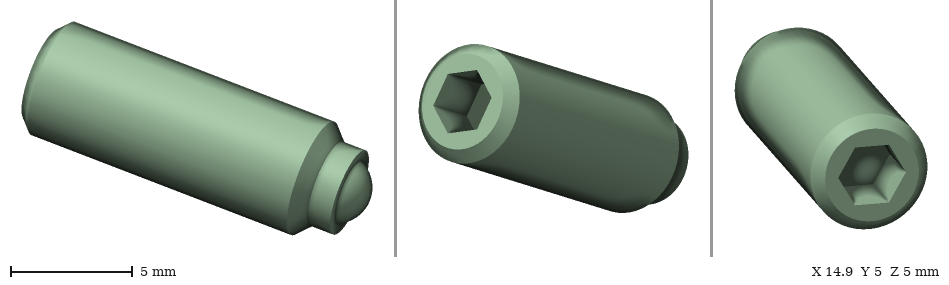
import cadquery as cq
import math

body_diameter = 5.0
sleeve_length = 14.0
overall_length = 14.89
drive_chamfer = 0.5

neck_diameter = 3.72
neck_length = 1.03

ball_diameter = 3.0

socket_across_flats = 2.5
socket_depth = 2.5

body_radius = body_diameter / 2
neck_radius = neck_diameter / 2
cone_length = body_radius - neck_radius
neck_start = sleeve_length - neck_length
cone_start = neck_start - cone_length
ball_radius = ball_diameter / 2
ball_center = overall_length - ball_radius


def make_body():
    """Turned body: chamfered drive end, cylinder, cone, neck and exposed ball cap."""
    ball_edge_angle = math.acos((sleeve_length - ball_center) / ball_radius)
    ball_edge_radius = ball_radius * math.sin(ball_edge_angle)
    mid_angle = ball_edge_angle / 2
    cap_middle = (
        ball_center + ball_radius * math.cos(mid_angle),
        ball_radius * math.sin(mid_angle),
    )
    return (
        cq.Workplane("XY")
        .moveTo(0, 0)
        .lineTo(0, body_radius - drive_chamfer)
        .lineTo(drive_chamfer, body_radius)
        .lineTo(cone_start, body_radius)
        .lineTo(neck_start, neck_radius)
        .lineTo(sleeve_length, neck_radius)
        .lineTo(sleeve_length, ball_edge_radius)
        .threePointArc(cap_middle, (overall_length, 0))
        .close()
        .revolve(360, (0, 0, 0), (1, 0, 0))
    )


def make_socket():
    """Hexagonal prism with two flats facing up and down, corners level with the axis along Y."""
    across_corners = socket_across_flats / math.cos(math.pi / 6)
    return cq.Workplane("YZ").polygon(6, across_corners).extrude(socket_depth)


result = make_body().cut(make_socket())